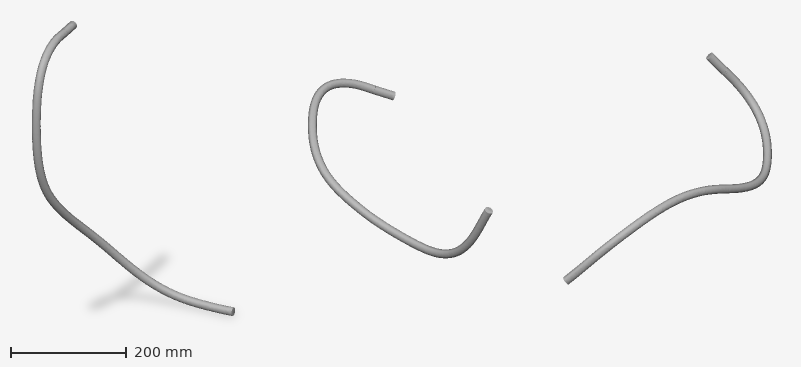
import cadquery as cq

rod_diameter = 15.5

upper_end = (0, 0, 0)
upper_end_direction = (0, -1, 0)
lower_end = (279.0, 56.0, -514)
lower_end_direction = (1, 0, 0)

centreline_points = [
    upper_end,
    (0, -37, 0),
    (0, -71.0, -0.5),
    (0, -121.5, -24.0),
    (0.5, -141.0, -53),
    (1.5, -154.5, -129.0),
    (3.5, -148.0, -206.5),
    (7.5, -128.0, -257.5),
    (17.0, -90, -309.0),
    (33.0, -38.5, -360),
    (61.0, 5.5, -411.0),
    (101.0, 37, -462.5),
    (168.0, 56.5, -504.0),
    (225.5, 58.5, -513.0),
    lower_end,
]

centreline = cq.Workplane("XY").spline(
    centreline_points,
    tangents=[upper_end_direction, lower_end_direction],
    scale=False,
)

result = (
    cq.Workplane(cq.Plane(origin=upper_end, normal=upper_end_direction))
    .circle(rod_diameter / 2)
    .sweep(centreline)
)